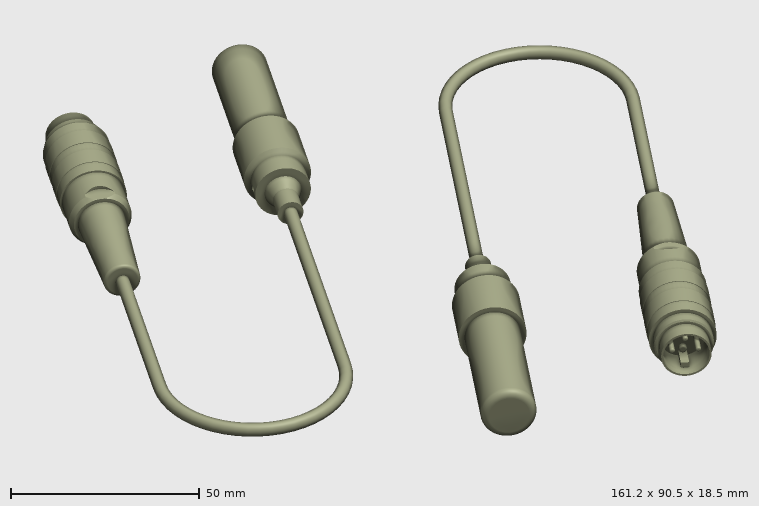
import cadquery as cq
import math

ASSEMBLY_TILT = -13.13

CABLE_DIA = 3.7
BEND_RADIUS = 25.0

PROBE_START = -142.47
PROBE_DIA = 15.0
PROBE_TUBE_LENGTH = 37.5
PROBE_NOSE_FILLET = 2.0
COLLAR_DIA = 18.15
COLLAR_LENGTH = 15.2
COLLAR_CHAMFER_LENGTH = 1.3

CAP_DIA = 15.08
CAP_LENGTH = 6.2
CAP_CONE_DIA = 10.0
CAP_CONE_LENGTH = 3.7
CAP_NECK_DIA = 7.0
CAP_NECK_LENGTH = 6.4
SCREW_HOLE_DIA = 1.7
SCREW_HOLE_DEPTH = 2.0

SHELL_START = -120.0
MOUTH_DIA = 13.5
MOUTH_LENGTH = 4.7
BORE_DIA = 12.4
BORE_DEPTH = 8.8
LOCK_RING_DIA = 16.0
LOCK_RING_LENGTH = 3.1
LOCK_RING_LEAD_DIA = 15.0
LOCK_RING_LEAD_LENGTH = 0.3
GRIP_RING_DIA = 18.5
GRIP_RING_LENGTH = 5.8
GRIP_GROOVE_DIA = 18.15
GRIP_GROOVE_LENGTH = 3.3
GRIP_END_LENGTH = 4.0
REAR_SLEEVE_DIA = 17.0
REAR_SLEEVE_LENGTH = 9.3
REAR_CHAMFER_DIA = 15.0
REAR_CHAMFER_LENGTH = 1.7
SPOT_FACE_DIA = 10.0
SPOT_FACE_REACH = 4.6
ACROSS_SPOT_FACES = 15.0

PIN_DIA = 1.49
PIN_LENGTH = 6.8
PIN_TIP_FILLET = 0.5
PIN_CIRCLE_DIA = 7.0
PIN_ANGLES = (0, 90, 180)
GUIDE_PIN_DIA = 2.25
GUIDE_PIN_LENGTH = 1.2
GUIDE_PIN_ANGLE = 270
KEY_WIDTH = 2.25
KEY_HEIGHT = 1.7
KEY_SETBACK = 3.0

BOOT_FRONT_DIA = 12.8
BOOT_REAR_DIA = 9.9
BOOT_LENGTH = 28.1
BOOT_REAR_FILLET = 0.9

PROBE_AXIS_Y = BEND_RADIUS
SHELL_AXIS_Y = -BEND_RADIUS
PROBE_LENGTH = PROBE_TUBE_LENGTH + COLLAR_LENGTH + COLLAR_CHAMFER_LENGTH
CAP_START = PROBE_START + PROBE_LENGTH
CAP_TOTAL_LENGTH = CAP_LENGTH + CAP_CONE_LENGTH + CAP_NECK_LENGTH
GRIP_LENGTH = 2 * GRIP_END_LENGTH + 2 * GRIP_RING_LENGTH + GRIP_GROOVE_LENGTH
FRONT_LENGTH = MOUTH_LENGTH + LOCK_RING_LEAD_LENGTH + LOCK_RING_LENGTH
SHELL_LENGTH = FRONT_LENGTH + GRIP_LENGTH + REAR_SLEEVE_LENGTH + REAR_CHAMFER_LENGTH
BOOT_START = SHELL_START + SHELL_LENGTH


def turned(sections):
    """Solid of revolution about X from x = 0; each section is (length, start dia, end dia)."""
    points = [(0, 0)]
    x = 0
    for length, start_dia, end_dia in sections:
        corners = [(x, start_dia / 2), (x + length, end_dia / 2)]
        points.extend(corner for corner in corners if corner != points[-1])
        x += length
    points.append((x, 0))
    profile = cq.Workplane("XY").polyline(points).close()
    return profile.revolve(360, (0, 0, 0), (1, 0, 0))


def rod(start, length, dia, y=0, z=0):
    """Cylinder along X."""
    return cq.Workplane("YZ", origin=(start, y, z)).circle(dia / 2).extrude(length)


def make_probe():
    body = turned([
        (PROBE_TUBE_LENGTH, PROBE_DIA, PROBE_DIA),
        (COLLAR_LENGTH, COLLAR_DIA, COLLAR_DIA),
        (COLLAR_CHAMFER_LENGTH, COLLAR_DIA, CAP_DIA),
    ])
    body = body.faces("<X").edges().fillet(PROBE_NOSE_FILLET)
    return body.translate((PROBE_START, PROBE_AXIS_Y, 0))


def make_cap():
    body = turned([
        (CAP_LENGTH, CAP_DIA, CAP_DIA),
        (CAP_CONE_LENGTH, CAP_CONE_DIA, CAP_NECK_DIA),
        (CAP_NECK_LENGTH, CAP_NECK_DIA, CAP_NECK_DIA),
    ])
    cable_hole = rod(0, CAP_TOTAL_LENGTH, CABLE_DIA)
    screw_hole = (
        cq.Workplane("XZ", origin=(CAP_LENGTH / 2, -CAP_DIA / 2, 0))
        .circle(SCREW_HOLE_DIA / 2)
        .extrude(-SCREW_HOLE_DEPTH)
    )
    return body.cut(cable_hole).cut(screw_hole).translate((CAP_START, PROBE_AXIS_Y, 0))


def make_cable():
    probe_end = (CAP_START, PROBE_AXIS_Y)
    path = (
        cq.Workplane("XY")
        .moveTo(*probe_end)
        .lineTo(0, PROBE_AXIS_Y)
        .threePointArc((BEND_RADIUS, 0), (0, SHELL_AXIS_Y))
        .lineTo(BOOT_START, SHELL_AXIS_Y)
    )
    return cq.Workplane("YZ", origin=(*probe_end, 0)).circle(CABLE_DIA / 2).sweep(path)


def make_contact(angle, dia, length):
    """Round-tipped pin on the floor of the bore, at an angle around the connector axis."""
    radius = PIN_CIRCLE_DIA / 2
    y = radius * math.cos(math.radians(angle))
    z = radius * math.sin(math.radians(angle))
    return rod(BORE_DEPTH - length, length, dia, y, z).faces("<X").edges().fillet(PIN_TIP_FILLET)


def make_spot_face(side):
    """Cutter for the flat on the upper (side = 1) or lower (side = -1) rear of the shell."""
    center_x = SHELL_LENGTH - SPOT_FACE_REACH + SPOT_FACE_DIA / 2
    plane = cq.Workplane("XY", origin=(center_x, 0, side * ACROSS_SPOT_FACES / 2))
    return plane.circle(SPOT_FACE_DIA / 2).extrude(side * GRIP_RING_DIA / 2)


def make_key():
    """Rib along the bottom of the bore, reaching halfway into the bore wall."""
    outer_dia = (BORE_DIA + MOUTH_DIA) / 2
    key_length = BORE_DEPTH - KEY_SETBACK
    block = (
        cq.Workplane("XY", origin=(KEY_SETBACK + key_length / 2, 0, KEY_HEIGHT - BORE_DIA / 2))
        .rect(key_length, KEY_WIDTH)
        .extrude(-BORE_DIA)
    )
    return block.intersect(rod(KEY_SETBACK, key_length, outer_dia))


def make_shell():
    body = turned([
        (MOUTH_LENGTH, MOUTH_DIA, MOUTH_DIA),
        (LOCK_RING_LEAD_LENGTH, LOCK_RING_LEAD_DIA, LOCK_RING_DIA),
        (LOCK_RING_LENGTH, LOCK_RING_DIA, LOCK_RING_DIA),
        (GRIP_END_LENGTH, GRIP_GROOVE_DIA, GRIP_GROOVE_DIA),
        (GRIP_RING_LENGTH, GRIP_RING_DIA, GRIP_RING_DIA),
        (GRIP_GROOVE_LENGTH, GRIP_GROOVE_DIA, GRIP_GROOVE_DIA),
        (GRIP_RING_LENGTH, GRIP_RING_DIA, GRIP_RING_DIA),
        (GRIP_END_LENGTH, GRIP_GROOVE_DIA, GRIP_GROOVE_DIA),
        (REAR_SLEEVE_LENGTH, REAR_SLEEVE_DIA, REAR_SLEEVE_DIA),
        (REAR_CHAMFER_LENGTH, REAR_SLEEVE_DIA, REAR_CHAMFER_DIA),
    ])
    for side in (1, -1):
        body = body.cut(make_spot_face(side))
    body = body.cut(rod(0, BORE_DEPTH, BORE_DIA))

    body = body.union(make_key())
    for angle in PIN_ANGLES:
        body = body.union(make_contact(angle, PIN_DIA, PIN_LENGTH))
    body = body.union(make_contact(GUIDE_PIN_ANGLE, GUIDE_PIN_DIA, GUIDE_PIN_LENGTH))
    return body.translate((SHELL_START, SHELL_AXIS_Y, 0))


def make_boot():
    body = turned([(BOOT_LENGTH, BOOT_FRONT_DIA, BOOT_REAR_DIA)])
    body = body.faces(">X").edges().fillet(BOOT_REAR_FILLET)
    body = body.cut(rod(0, BOOT_LENGTH, CABLE_DIA))
    return body.translate((BOOT_START, SHELL_AXIS_Y, 0))


def placed(body):
    return body.rotate((0, 0, 0), (0, 0, 1), ASSEMBLY_TILT)


probe = placed(make_probe())
cap = placed(make_cap())
cable = placed(make_cable())
shell = placed(make_shell())
boot = placed(make_boot())

result = cq.Compound.makeCompound([probe.val(), cap.val(), cable.val(), shell.val(), boot.val()])